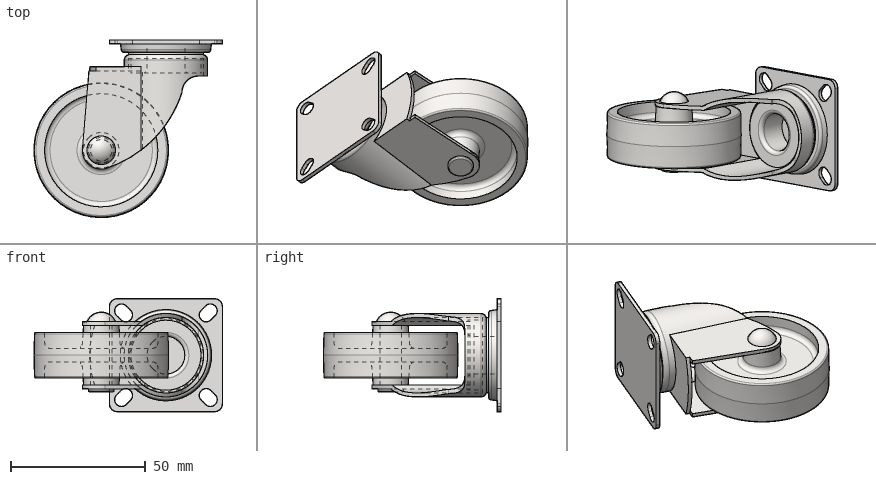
import cadquery as cq
import math


wheel_radius = 25.0
wheel_width = 17.0
tread_edge_radius = 24.8
tread_round = 0.6
web_thickness = 5.0
recess_radius = 21.0
web_round = 2.0
hub_foot_radius = 7.0
hub_end_radius = 6.6
axle_radius = 4.0

sheet = 1.5
fork_width = 25.0
fork_half = fork_width / 2
leg_inner = fork_half - sheet
leg_end_radius = 7.0
roof_top_y = 31.0
roof_bottom_y = roof_top_y - sheet
leg_top_x = -4.6
roof_edge_x = -4.3
roof_edge_bow = 2.4

swivel_x = 24.0
head_radius = 15.5
head_bore_radius = head_radius - sheet
head_top_y = 35.5
head_round = 2.0
head_bottom_y = 27.5
front_notch_radius = 6.0
front_notch_x = swivel_x + 12.0
front_edge_radius = 44.0
front_edge_end_x = 1.37
front_edge_end_y = -math.sqrt(leg_end_radius**2 - front_edge_end_x**2)

bearing_radius = 13.0
bearing_bottom_y = 28.6
neck_radius = 14.0
kingpin_hole_radius = 7.0
kingpin_hole_round = 1.5

plate_side = 42.0
plate_top_y = 41.0
plate_bottom_y = plate_top_y - sheet
plate_corner_radius = 3.0
slot_offset = 15.7
slot_width = 5.0
slot_length = 7.2
flange_top_radius = 16.95
flange_lower_radius = 16.65
flange_bottom_y = 36.3
flange_round = 1.1

dome_radius = 5.3
dome_height = 3.5
rivet_radius = 4.75
rivet_height = 1.1
rivet_round = 0.5

DIAGONAL = math.sqrt(0.5)


def disc(radius, y_low, y_high):
    """A solid cylinder on the swivel axis between two heights."""
    plane = cq.Workplane("XZ", origin=(swivel_x, y_low, 0))
    return plane.circle(radius).extrude(y_low - y_high)


def slab(x_low, x_high, y_low, y_high, half_width):
    """A box given by its X and Y limits, symmetric about Z = 0."""
    length = x_high - x_low
    height = y_high - y_low
    centre = ((x_low + x_high) / 2, (y_low + y_high) / 2, 0)
    return cq.Workplane("XY").box(length, height, 2 * half_width).translate(centre)


def make_wheel():
    half = wheel_width / 2
    web = web_thickness / 2
    rim_fillet_centre = (recess_radius - web_round, web + web_round)
    hub_fillet_centre = (hub_foot_radius + web_round, web + web_round)
    bend = web_round * DIAGONAL
    tread_bend = tread_round * (1 - DIAGONAL)
    upper_half = (
        cq.Workplane("XZ")
        .moveTo(axle_radius, 0)
        .lineTo(wheel_radius, 0)
        .lineTo(tread_edge_radius, half - tread_round)
        .threePointArc((tread_edge_radius - tread_bend, half - tread_bend),
                       (tread_edge_radius - tread_round, half))
        .lineTo(recess_radius, half)
        .lineTo(recess_radius, web + web_round)
        .threePointArc((rim_fillet_centre[0] + bend, rim_fillet_centre[1] - bend),
                       (rim_fillet_centre[0], web))
        .lineTo(hub_fillet_centre[0], web)
        .threePointArc((hub_fillet_centre[0] - bend, hub_fillet_centre[1] - bend),
                       (hub_foot_radius, web + web_round))
        .lineTo(hub_end_radius, leg_inner)
        .lineTo(axle_radius, leg_inner)
        .close()
        .revolve(360, (0, 0, 0), (0, 1, 0))
    )
    return upper_half.union(upper_half.mirror("XY"))


def make_fork_side_profile():
    """Side outline of the fork, as a block wider than the whole fork."""
    notch_end = (front_notch_x - front_notch_radius, head_bottom_y - front_notch_radius)
    notch_bend = front_notch_radius * (1 - DIAGONAL)
    front_x = swivel_x + head_radius
    rear_slope = (leg_top_x + leg_end_radius) / roof_bottom_y
    return (
        cq.Workplane("XY")
        .workplane(offset=-head_radius)
        .moveTo(front_x, roof_top_y)
        .lineTo(front_x, head_bottom_y)
        .lineTo(front_notch_x, head_bottom_y)
        .threePointArc((notch_end[0] + notch_bend, head_bottom_y - notch_bend), notch_end)
        .radiusArc((front_edge_end_x, front_edge_end_y), front_edge_radius)
        .threePointArc((-leg_end_radius * DIAGONAL, -leg_end_radius * DIAGONAL), (-leg_end_radius, 0))
        .lineTo(rear_slope * roof_top_y - leg_end_radius, roof_top_y)
        .close()
        .extrude(2 * head_radius)
    )


def make_fork():
    low = -leg_end_radius
    outside = slab(low, swivel_x, low, roof_top_y, fork_half)
    outside = outside.union(disc(head_radius, low, roof_top_y))
    inside = slab(low, swivel_x, low, roof_bottom_y, leg_inner)
    inside = inside.union(disc(head_bore_radius, low, roof_bottom_y))
    fork = outside.cut(inside).intersect(make_fork_side_profile())

    bow_end_x = roof_edge_x + roof_edge_bow
    behind_roof = (
        cq.Workplane("XZ", origin=(0, roof_bottom_y, 0))
        .moveTo(low, -fork_half)
        .lineTo(bow_end_x, -fork_half)
        .threePointArc((roof_edge_x, 0), (bow_end_x, fork_half))
        .lineTo(low, fork_half)
        .close()
        .extrude(-sheet)
    )
    head = disc(head_radius, roof_bottom_y, head_top_y).faces(">Y").edges().fillet(head_round)
    head_bore = disc(head_bore_radius, roof_bottom_y, head_top_y - sheet)
    return fork.cut(behind_roof).union(head).cut(head_bore)


def make_bearing():
    """Core that stands clear of the head bore, and the wider neck between head and flange."""
    core = disc(bearing_radius, bearing_bottom_y, head_top_y)
    return core.union(disc(neck_radius, head_top_y, flange_bottom_y))


def make_kingpin_hole():
    mouth_radius = kingpin_hole_radius + kingpin_hole_round
    bend = kingpin_hole_round * (1 - DIAGONAL)
    return (
        cq.Workplane("XY")
        .moveTo(0, bearing_bottom_y)
        .lineTo(mouth_radius, bearing_bottom_y)
        .threePointArc((kingpin_hole_radius + bend, bearing_bottom_y + bend),
                       (kingpin_hole_radius, bearing_bottom_y + kingpin_hole_round))
        .lineTo(kingpin_hole_radius, plate_bottom_y)
        .lineTo(0, plate_bottom_y)
        .close()
        .revolve(360, (0, 0, 0), (0, 1, 0))
        .translate((swivel_x, 0, 0))
    )


def make_flange():
    bend = flange_round * (1 - DIAGONAL)
    return (
        cq.Workplane("XY")
        .moveTo(0, plate_bottom_y)
        .lineTo(flange_top_radius, plate_bottom_y)
        .lineTo(flange_lower_radius, flange_bottom_y + flange_round)
        .threePointArc((flange_lower_radius - bend, flange_bottom_y + bend),
                       (flange_lower_radius - flange_round, flange_bottom_y))
        .lineTo(0, flange_bottom_y)
        .close()
        .revolve(360, (0, 0, 0), (0, 1, 0))
        .translate((swivel_x, 0, 0))
    )


def make_plate():
    plane = cq.Workplane("XZ", origin=(swivel_x, plate_bottom_y, 0))
    plate = plane.rect(plate_side, plate_side).extrude(-sheet).edges("|Y").fillet(plate_corner_radius)
    for x_sign in (-1, 1):
        for z_sign in (-1, 1):
            slot = (
                plane.center(x_sign * slot_offset, z_sign * slot_offset)
                .slot2D(slot_length, slot_width, 45 * x_sign * z_sign)
                .extrude(-sheet)
            )
            plate = plate.cut(slot)
    return plate


def make_axle():
    axle = cq.Workplane("XY").workplane(offset=-fork_half).circle(axle_radius).extrude(fork_width)
    sphere_radius = (dome_radius**2 + dome_height**2) / (2 * dome_height)
    dome_tip_z = fork_half + dome_height
    half_angle = math.asin(dome_radius / sphere_radius) / 2
    arc_middle = (sphere_radius * math.sin(half_angle),
                  dome_tip_z - sphere_radius * (1 - math.cos(half_angle)))
    dome = (
        cq.Workplane("XZ")
        .moveTo(0, fork_half)
        .lineTo(dome_radius, fork_half)
        .threePointArc(arc_middle, (0, dome_tip_z))
        .close()
        .revolve(360, (0, 0, 0), (0, 1, 0))
    )
    rivet = cq.Workplane("XY").workplane(offset=-fork_half).circle(rivet_radius).extrude(-rivet_height)
    rivet = rivet.faces("<Z").edges().fillet(rivet_round)
    return axle.union(dome).union(rivet)


def make_frame():
    """Plate, flange, bearing, fork and riveted axle as the one body that carries the wheel."""
    frame = make_fork().union(make_bearing()).union(make_flange()).union(make_plate())
    return frame.cut(make_kingpin_hole()).union(make_axle())


frame = make_frame()
wheel = make_wheel()

result = cq.Compound.makeCompound([frame.val(), wheel.val()])